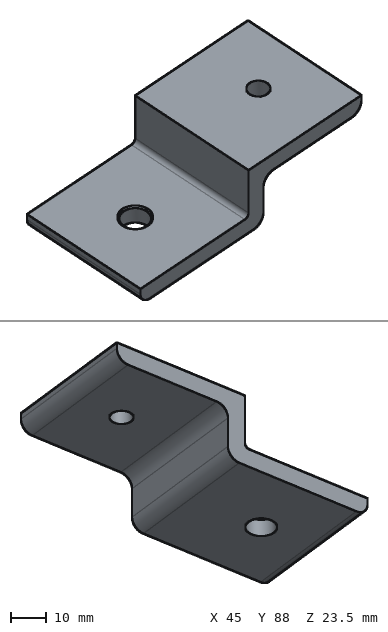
import cadquery as cq

length = 88.0
width = 45.0
height = 23.5
thickness = 6.0
upper_length = 45.0
round_radius = 4.0
step_fillet = 1.5

upper_hole_diameter = 6.8
upper_hole_inset = 18.5
lower_hole_diameter = 9.0
lower_hole_inset = 20.5
lower_hole_chamfer = 0.5

web_front = length - upper_length
web_back = web_front + thickness
upper_underside = height - thickness


def round_edge(body, y, z, radius):
    """Round the edge running along X through the profile corner (y, z)."""
    margin = 0.1
    corner = cq.selectors.BoxSelector(
        (-margin, y - margin, z - margin),
        (width + margin, y + margin, z + margin),
    )
    return body.edges(corner).fillet(radius)


def make_z_bracket():
    """Extrude the Z-shaped profile across the width and round its corners."""
    body = (
        cq.Workplane("YZ")
        .polyline([
            (0, 0),
            (web_back, 0),
            (web_back, upper_underside),
            (length, upper_underside),
            (length, height),
            (web_front, height),
            (web_front, thickness),
            (0, thickness),
        ])
        .close()
        .extrude(width)
    )
    rounded_corners = [
        (0, 0),
        (web_back, 0),
        (web_back, upper_underside),
        (length, upper_underside),
    ]
    for y, z in rounded_corners:
        body = round_edge(body, y, z, round_radius)
    return round_edge(body, web_front, thickness, step_fillet)


def hole_cutter(diameter, y):
    """Vertical cylinder on the width centreline, through the full height."""
    return cq.Workplane("XY").center(width / 2, y).circle(diameter / 2).extrude(height)


def lower_hole_chamfer_cutter():
    """Cone that breaks the upper rim of the lower hole at 45 degrees."""
    rim_radius = lower_hole_diameter / 2 + lower_hole_chamfer
    return (
        cq.Workplane("XY", origin=(width / 2, lower_hole_inset, thickness))
        .circle(rim_radius)
        .extrude(-lower_hole_chamfer, taper=45)
    )


result = (
    make_z_bracket()
    .cut(hole_cutter(upper_hole_diameter, length - upper_hole_inset))
    .cut(hole_cutter(lower_hole_diameter, lower_hole_inset))
    .cut(lower_hole_chamfer_cutter())
)